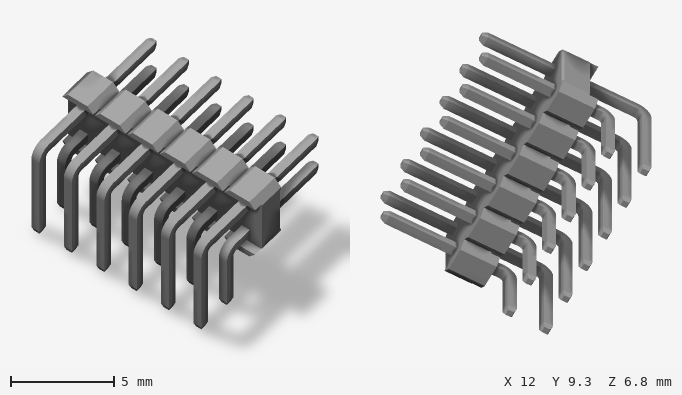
import cadquery as cq


length = 12.0
column_count = 6
row_count = 2
pitch = length / column_count
housing_height = row_count * pitch

body_depth = 1.5
tooth_depth = pitch
tooth_chamfer_width = 0.4
tooth_chamfer_height = 0.42
tooth_thickness = 0.37
end_bevel = 0.1
end_bevel_margin = 0.52

pin_width = 0.5
bend_radius = 0.75
mating_length = 4.0
upper_leg_reach = 5.3
total_height = 6.8
tip_length = 0.28
tip_inset = 0.1

housing_top = housing_height / 2
leg_bottom = housing_top - total_height
column_positions = [(column - (column_count - 1) / 2) * pitch for column in range(column_count)]


def make_cell():
    """One column of the housing: an octagonal block relieved at the front between its teeth."""
    half_width = pitch / 2
    half_flat = half_width - tooth_chamfer_width
    shoulder = housing_top - tooth_chamfer_height
    cell = (
        cq.Workplane("XZ")
        .polyline([
            (-half_flat, housing_top),
            (half_flat, housing_top),
            (half_width, shoulder),
            (half_width, -shoulder),
            (half_flat, -housing_top),
            (-half_flat, -housing_top),
            (-half_width, -shoulder),
            (-half_width, shoulder),
        ])
        .close()
        .extrude(tooth_depth)
    )
    relief_depth = tooth_depth - body_depth
    relief_height = housing_height - 2 * tooth_thickness
    relief = cq.Workplane("XY").box(pitch, relief_depth, relief_height)
    return cell.cut(relief.translate((0, -body_depth - relief_depth / 2, 0)))


def make_end_bevel(side):
    """Cutter for the 45 degree bevel on a back vertical edge; side is -1 or +1 along X."""
    corner_x = side * length / 2
    outer_half_height = housing_top - end_bevel_margin
    inner_half_height = outer_half_height - end_bevel
    wedge = (
        cq.Workplane("XY")
        .polyline([
            (corner_x - side * end_bevel, 0),
            (corner_x, -end_bevel),
            (corner_x, 0),
        ])
        .close()
        .extrude(outer_half_height, both=True)
    )
    drafted_outline = (
        cq.Workplane("YZ")
        .polyline([
            (0, outer_half_height),
            (-end_bevel, inner_half_height),
            (-end_bevel, -inner_half_height),
            (0, -outer_half_height),
        ])
        .close()
        .extrude(length, both=True)
    )
    return wedge.intersect(drafted_outline)


def make_tip(face_center, direction, x_direction):
    """Tapered square tip standing on the end of a pin."""
    plane = cq.Plane(origin=face_center, xDir=x_direction, normal=direction)
    end_width = pin_width - 2 * tip_inset
    return (
        cq.Workplane(plane)
        .rect(pin_width, pin_width)
        .workplane(offset=tip_length)
        .rect(end_width, end_width)
        .loft(combine=True)
    )


def make_pin(center_z, leg_reach):
    """Bent square pin at X = 0, with its outer leg face at Y = -leg_reach."""
    top = center_z + pin_width / 2
    underside = center_z - pin_width / 2
    leg_front = -leg_reach
    leg_back = leg_front + pin_width
    bend_y = leg_front + bend_radius
    bend_z = top - bend_radius
    inner_radius = bend_radius - pin_width
    tail_end = mating_length - tip_length
    leg_end = leg_bottom + tip_length
    shank = (
        cq.Workplane("YZ")
        .moveTo(tail_end, top)
        .lineTo(bend_y, top)
        .radiusArc((leg_front, bend_z), -bend_radius)
        .lineTo(leg_front, leg_end)
        .lineTo(leg_back, leg_end)
        .lineTo(leg_back, bend_z)
        .radiusArc((bend_y, underside), inner_radius)
        .lineTo(tail_end, underside)
        .close()
        .extrude(pin_width / 2, both=True)
    )
    mating_tip = make_tip((0, tail_end, center_z), (0, 1, 0), (1, 0, 0))
    leg_tip = make_tip((0, leg_front + pin_width / 2, leg_end), (0, 0, -1), (1, 0, 0))
    return shank.union(mating_tip).union(leg_tip)


cell = make_cell()
housing = cq.Workplane("XY")
for x in column_positions:
    housing = housing.union(cell.translate((x, 0, 0)))
for side in (-1, 1):
    housing = housing.cut(make_end_bevel(side))

result = housing
for row in range(row_count):
    pin = make_pin(housing_top - (row + 0.5) * pitch, upper_leg_reach - row * pitch)
    for x in column_positions:
        result = result.union(pin.translate((x, 0, 0)))